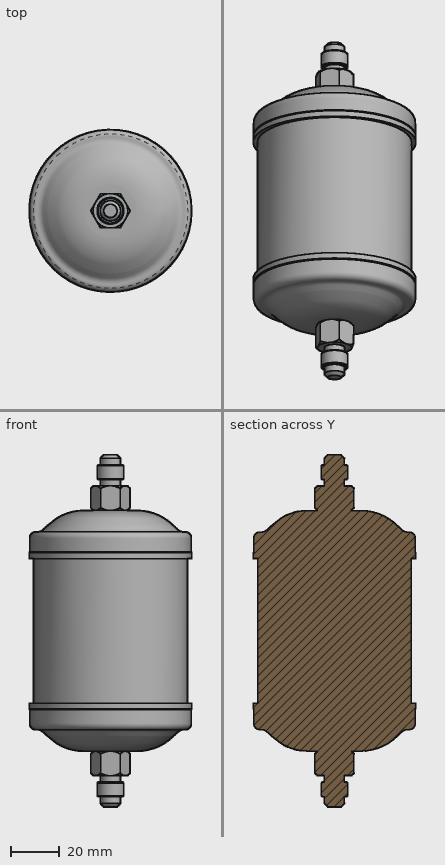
import cadquery as cq
import math

total_length = 145.0
half_length = total_length / 2

tube_radius = 31.8
cap_radius = 33.4
cap_rim_z = 29.7
cap_shoulder_z = 40.7
cap_edge_fillet = 2.6
rim_radius = 33.5
rim_step_z = 32.0
rim_step_height = 0.5

crown_z = 49.6
crown_radius = 10.9
dome_arc_radius = 21.3
foot_arc_radius = 3.2
foot_outer_radius = 30.0
dome_slope = math.radians(45)

hex_across_flats = 14.0
hex_corners = hex_across_flats / math.cos(math.radians(30))
hex_end_z = 59.6
hex_corner_chamfer = 1.0

stem_radius = 4.2
stem_tip_chamfer = 1.5
collar_radius = 5.5
collar_start_z = 62.2
collar_end_z = 68.3
collar_chamfer = 0.5


def arc_point(center, radius, angle):
    """Point on a circle in the radius-height plane, angle measured from the axis direction."""
    return (center[0] + radius * math.sin(angle), center[1] + radius * math.cos(angle))


def make_tube():
    """Shell tube reaching from one cap rim to the other."""
    return cq.Workplane("XY").circle(tube_radius).extrude(cap_rim_z, both=True)


def make_cap():
    """Upper domed cap."""
    dome_center = (crown_radius, crown_z - dome_arc_radius)
    foot_center = (foot_outer_radius, cap_shoulder_z + foot_arc_radius)
    edge_center = (cap_radius - cap_edge_fillet, cap_shoulder_z - cap_edge_fillet)
    profile = (
        cq.Workplane("XZ")
        .moveTo(0, cap_rim_z)
        .lineTo(rim_radius, cap_rim_z)
        .lineTo(rim_radius, rim_step_z)
        .lineTo(cap_radius, rim_step_z + rim_step_height)
        .lineTo(cap_radius, edge_center[1])
        .threePointArc(
            arc_point(edge_center, cap_edge_fillet, math.pi / 4),
            (edge_center[0], cap_shoulder_z),
        )
        .lineTo(foot_outer_radius, cap_shoulder_z)
        .threePointArc(
            arc_point(foot_center, -foot_arc_radius, dome_slope / 2),
            arc_point(foot_center, -foot_arc_radius, dome_slope),
        )
        .lineTo(*arc_point(dome_center, dome_arc_radius, dome_slope))
        .threePointArc(
            arc_point(dome_center, dome_arc_radius, dome_slope / 2),
            (crown_radius, crown_z),
        )
        .lineTo(0, crown_z)
    )
    return profile.close().revolve(360, (0, 0, 0), (0, 1, 0))


def make_hex():
    """Hexagon with corners along X, its corners rounded off by cones at both ends."""
    height = hex_end_z - crown_z
    prism = cq.Workplane("XY").workplane(offset=crown_z).polygon(6, hex_corners).extrude(height)
    envelope = (
        cq.Workplane("XY")
        .workplane(offset=crown_z)
        .circle(hex_corners / 2)
        .extrude(height)
        .edges()
        .chamfer(hex_corner_chamfer)
    )
    return prism.intersect(envelope)


def make_connector():
    """Stem with a chamfered tip and a chamfered collar."""
    stem = (
        cq.Workplane("XY")
        .workplane(offset=crown_z)
        .circle(stem_radius)
        .extrude(half_length - crown_z)
        .faces(">Z")
        .chamfer(stem_tip_chamfer)
    )
    collar = (
        cq.Workplane("XY")
        .workplane(offset=collar_start_z)
        .circle(collar_radius)
        .extrude(collar_end_z - collar_start_z)
        .edges()
        .chamfer(collar_chamfer)
    )
    return stem.union(collar)


upper_end = make_cap().union(make_hex()).union(make_connector())
lower_end = upper_end.mirror("XY")
result = make_tube().union(upper_end).union(lower_end)